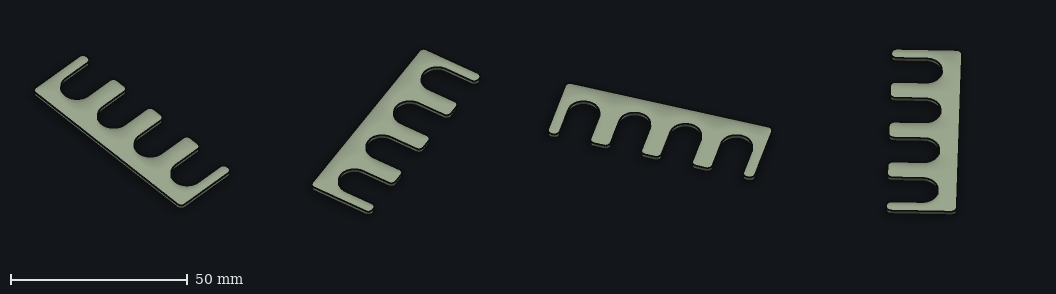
import cadquery as cq

length = 61.0
width = 20.0
thickness = 1.6
corner_radius = 1.5

slot_count = 4
slot_pitch = 15.0
slot_width = 9.0
slot_floor = 5.5

slot_radius = slot_width / 2
slot_center_y = -width / 2 + slot_floor + slot_radius
slot_straight = width / 2 - slot_center_y


def make_slot(center_x):
    """Cutter for one slot: a straight channel ending in a half circle."""
    channel = (
        cq.Workplane("XY")
        .center(center_x, slot_center_y + slot_straight / 2)
        .rect(slot_width, slot_straight)
        .extrude(thickness)
    )
    round_end = (
        cq.Workplane("XY")
        .center(center_x, slot_center_y)
        .circle(slot_radius)
        .extrude(thickness)
    )
    return channel.union(round_end)


comb = cq.Workplane("XY").rect(length, width).extrude(thickness)
for index in range(slot_count):
    comb = comb.cut(make_slot((index - (slot_count - 1) / 2) * slot_pitch))

comb = comb.faces("<Y").edges("|Z").fillet(corner_radius)
result = comb.faces(">Y").edges("|Z").fillet(corner_radius)